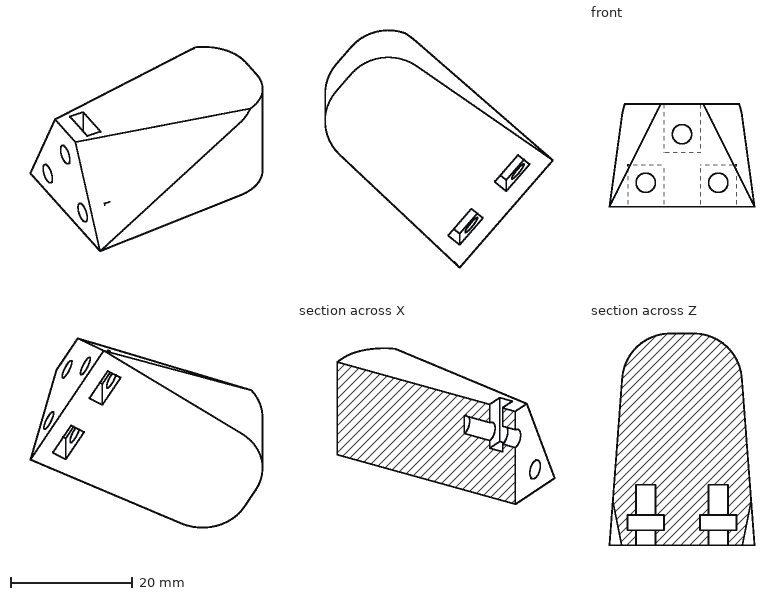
import cadquery as cq

length = 35.0
height = 17.0
front_width = 23.98
back_width = 18.65
corner_radius = 8.0

flank_front_half_width = 3.5
flank_edge_spread = 0.2

hole_diameter = 3.2
hole_depth = 10.0
lower_hole_x = 6.0
lower_hole_z = 4.0
upper_hole_z = 12.0
slot_width = 6.0
slot_thickness = 2.5
slot_front_y = 2.52
slot_reach = slot_width / 2


def make_body():
    half_front = front_width / 2
    half_back = back_width / 2
    outline = [
        (-half_front, 0),
        (half_front, 0),
        (half_back, length),
        (-half_back, length),
    ]
    body = cq.Workplane("XY").polyline(outline).close().extrude(height)
    return body.edges("|Z and >Y").fillet(corner_radius)


def make_flank_cutter():
    """Wedge outside the plane from the lower front corner to the left top edge."""
    outer_x = -2 * front_width
    front_section = [
        (-front_width / 2, 0),
        (-flank_front_half_width, height),
        (outer_x, height),
        (outer_x, 0),
    ]
    shift = cq.Vector(-flank_edge_spread * length, length, 0)
    face = cq.Face.makeFromWires(cq.Wire.makePolygon(
        [cq.Vector(x, 0, z) for x, z in front_section], close=True))
    return cq.Workplane(cq.Solid.extrudeLinear(face, shift))


def make_screw_hole(x, z):
    centre = cq.Vector(x, 0, z)
    return cq.Workplane(cq.Solid.makeCylinder(
        hole_diameter / 2, hole_depth, centre, cq.Vector(0, 1, 0)))


def make_nut_slot(x, bottom, top):
    corner = (x - slot_width / 2, slot_front_y, bottom)
    return (
        cq.Workplane("XY")
        .box(slot_width, slot_thickness, top - bottom, centered=False)
        .translate(corner)
    )


flank_cutter = make_flank_cutter()
result = make_body().cut(flank_cutter).cut(flank_cutter.mirror("YZ"))

result = result.cut(make_screw_hole(0, upper_hole_z))
result = result.cut(make_nut_slot(0, upper_hole_z - slot_reach, height))

for hole_x in (-lower_hole_x, lower_hole_x):
    result = result.cut(make_screw_hole(hole_x, lower_hole_z))
    result = result.cut(make_nut_slot(hole_x, 0, lower_hole_z + slot_reach))